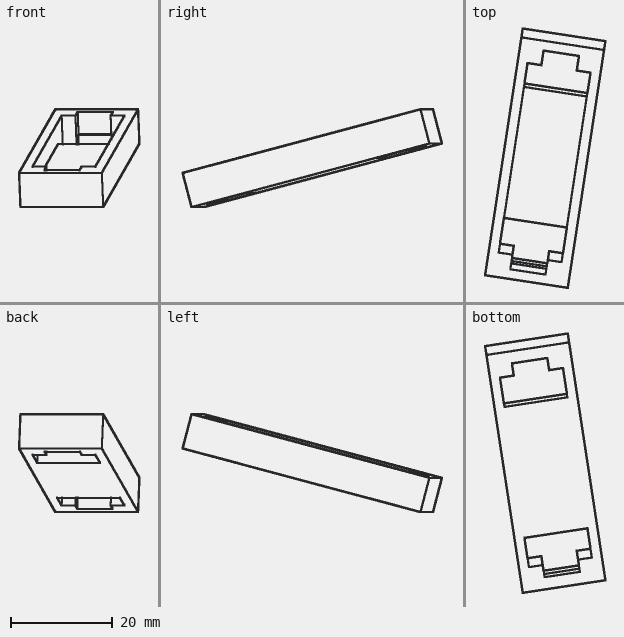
import cadquery as cq

width = 16.5
length = 49.0
height = 7.0

tilt_angle = 14.81
turn_angle = -8.68

side_wall = 2.0
end_wall = 2.0
notch_width = 7.0
notch_depth = 3.0
cavity_width = width - 2 * side_wall
cavity_length = length - 2 * (end_wall + notch_depth)

floor_length = 27.0
floor_thickness = 2.8

ledge_height = 2.45
ledge_depth = 0.5


def block(size_x, size_y, size_z):
    """Box centred in X and Y, standing on Z = 0."""
    return cq.Workplane("XY").box(size_x, size_y, size_z, centered=(True, True, False))


def opening():
    """Cavity and end notches, narrowed below by the notch ledges."""
    notch_length = length - 2 * end_wall
    cavity = block(cavity_width, cavity_length, height)
    lower_notches = block(notch_width, notch_length - 2 * ledge_depth, height)
    upper_notches = block(notch_width, notch_length, height - ledge_height)
    return cavity.union(lower_notches).union(upper_notches.translate((0, 0, ledge_height)))


def place(body):
    """Tilt and turn the block about its centre."""
    centred = body.translate((0, 0, -height / 2))
    tilted = centred.rotate((0, 0, 0), (1, 0, 0), tilt_angle)
    return tilted.rotate((0, 0, 0), (0, 0, 1), turn_angle)


frame = block(width, length, height).cut(opening())
floor = block(cavity_width, floor_length, floor_thickness)
result = place(frame.union(floor))